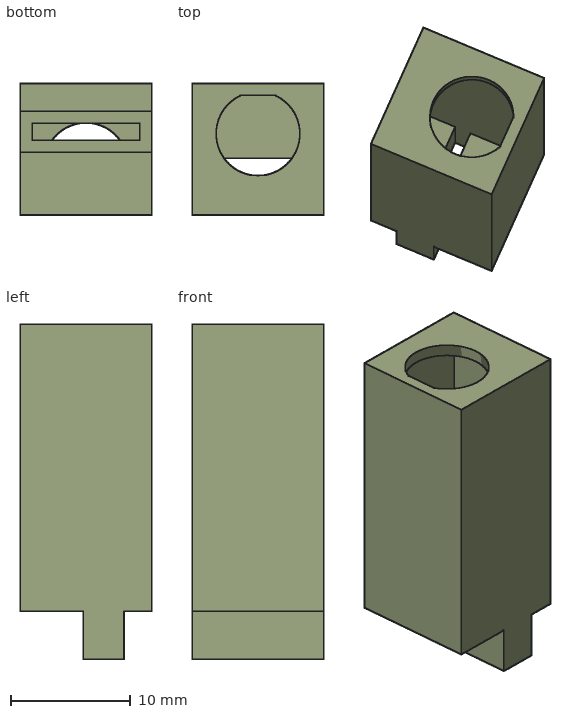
import cadquery as cq

height = 28.0
side = 11.0
wall = 1.0
tongue_height = 4.0
tongue_thickness = 3.42
tongue_setback = 5.25
hole_diameter = 7.0
hole_setback = 4.2

back_y = side / 2
tongue_y = back_y - tongue_setback - tongue_thickness / 2
hole_y = back_y - hole_setback
inner_side = side - 2 * wall
floor_z = tongue_height + wall
ceiling_z = height - wall


def block(size_x, size_y, bottom_z, top_z, center_y=0):
    """Upright rectangular block centred on X."""
    return (
        cq.Workplane("XY", origin=(0, center_y, bottom_z))
        .rect(size_x, size_y)
        .extrude(top_z - bottom_z)
    )


body = block(side, side, tongue_height, height)
tongue = block(side, tongue_thickness, 0, tongue_height, tongue_y)

cavity = block(inner_side, inner_side, floor_z, ceiling_z)
slot = block(inner_side, tongue_thickness - 2 * wall, 0, floor_z, tongue_y)

opening = (
    cq.Workplane("XY", origin=(0, hole_y, ceiling_z))
    .circle(hole_diameter / 2)
    .extrude(wall)
    .intersect(block(inner_side, inner_side, ceiling_z, height))
)

result = body.union(tongue).cut(cavity).cut(slot).cut(opening)